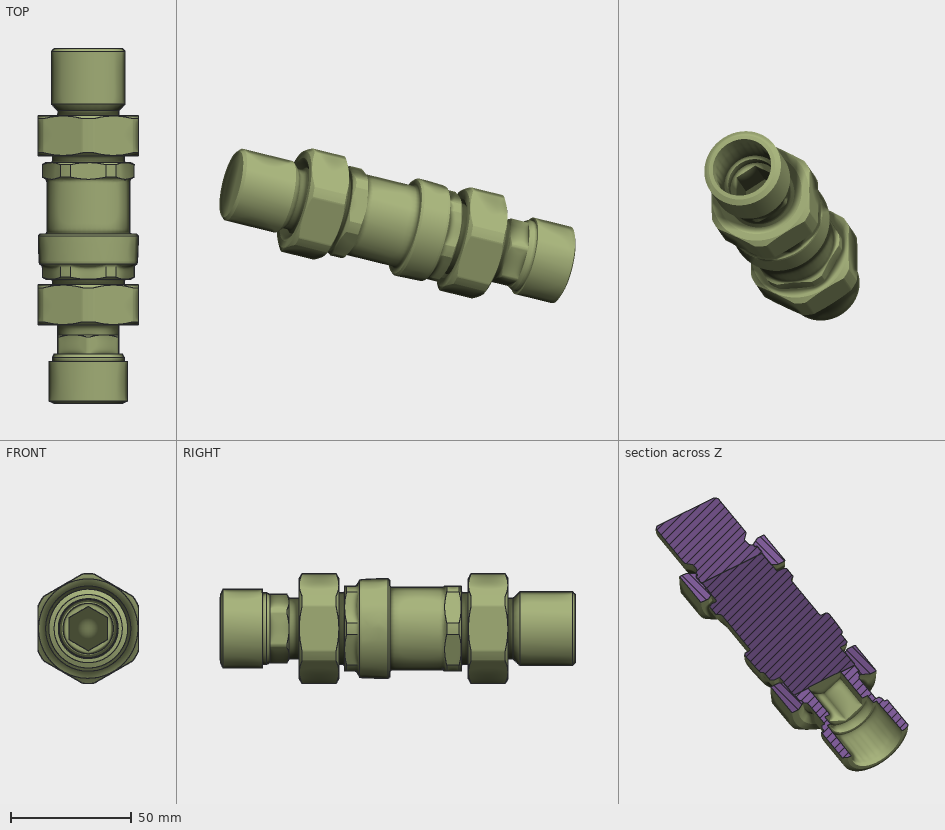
import cadquery as cq
import math

TAN30 = math.tan(math.radians(30))
COS30 = math.cos(math.radians(30))

total_length = 148.0
body_thread_r = 30.0 / 2
neck_r = 25.5 / 2
lip_r = 28.3 / 2

nut_flats = 41.9
nut_corners = 45.9
nut_corner_fillet = 3.0
nut_width = 16.7
nut_face_r = 41.5 / 2
nut_mouth_r = 35.5 / 2
nut_lip_depth = 3.7
nut_entry_r = 34.0 / 2
nut_entry_depth = (nut_entry_r - body_thread_r) * TAN30
nut_mouth_depth = (nut_mouth_r - lip_r) * TAN30
front_nut_y = 32.9
rear_nut_y = 120.1

body_flats = 35.4
body_corners = 38.4
body_corner_fillet = 1.9
body_hex_face_r = 35.2 / 2
body_thread_fillet = 0.6
body_thread_engagement = 8.9
front_hex_y = 51.8
rear_hex_y = 100.5
front_stub_end = front_nut_y + nut_width - body_thread_engagement
rear_stub_end = rear_nut_y - nut_width + body_thread_engagement
tube_r = 34.6 / 2
collar_face_y = 58.2
collar_face_r = 40.5 / 2
collar_edge_y = 59.1
collar_front_r = 41.0 / 2
collar_mid_r = 41.6 / 2
collar_rear_r = 41.8 / 2
collar_rear_y = 69.9
collar_shoulder_y = 70.8
collar_shoulder_r = 40.3 / 2
collar_tube_fillet = 0.7
collar_hex_fillet = 1.0
joint_margin = 0.1
rear_hex_cone_y = 94.5
rear_hex_fillet = 1.5

front_thread_r = 32.9 / 2
rear_thread_r = 30.8 / 2
mouth_r = 28.5 / 2
mouth_chamfer = 1.2
mouth_rise = 0.1
front_thread_length = 17.6
front_collar_r = 30.0 / 2
front_collar_chamfer_r = 28.5 / 2
front_collar_chamfer_y = 19.2
front_collar_end_y = 20.7
tail_flats = 25.5
tail_corners = 28.7
tail_corner_fillet = 1.6
tail_hex_end_y = 28.7
flare_cone_length = 0.9
flare_cone_r = 26.0 / 2
front_blend_length = 1.0
rear_blend_length = 2.0
rear_neck_y = 122.2
rear_thread_y = 125.0
bore_mouth_r = 25.0 / 2
bore_end_r = 24.1 / 2
bore_depth = 19.2
step_bore_r = 21.0 / 2
step_depth = 23.7
key_flats = 16.0


def revolved(profile):
    """Turn a closed (radius, y) sketch about the Y axis."""
    return profile.close().revolve(360, (0, 0), (0, 1))


def cylinder(radius, y_start, y_end):
    """Round bar along Y."""
    return cq.Workplane("XZ", origin=(0, y_start, 0)).circle(radius).extrude(y_start - y_end)


def hexagon(flats, y_start, y_end, turn):
    """Hexagonal bar along Y; turn = 0 puts two corners on the Z axis, 30 puts them on X."""
    bar = cq.Workplane("XZ", origin=(0, y_start, 0)).polygon(6, flats, circumscribed=True)
    return bar.extrude(y_start - y_end).rotate((0, 0, 0), (0, 1, 0), turn)


def blunt_hexagon(flats, corners, fillet, y_start, y_end, turn):
    """Hexagonal bar with its corners cut flat and the resulting edges rounded."""
    bar = hexagon(flats, y_start, y_end, turn).intersect(hexagon(corners, y_start, y_end, turn + 30))
    return bar.edges("|Y").fillet(fillet)


def make_nut():
    """Union nut with its coned mouth at Y = 0 and the thread entry at Y = nut_width."""
    chamfer = (nut_corners / 2 - nut_face_r) * TAN30
    blank = blunt_hexagon(nut_flats, nut_corners, nut_corner_fillet, 0, nut_width, 0)
    envelope = revolved(
        cq.Workplane("XY")
        .moveTo(0, 0)
        .lineTo(nut_face_r, 0)
        .lineTo(nut_corners / 2, chamfer)
        .lineTo(nut_corners / 2, nut_width - chamfer)
        .lineTo(nut_face_r, nut_width)
        .lineTo(0, nut_width)
    )
    bore = revolved(
        cq.Workplane("XY")
        .moveTo(0, 0)
        .lineTo(nut_mouth_r, 0)
        .lineTo(lip_r, nut_mouth_depth)
        .lineTo(lip_r, nut_lip_depth)
        .lineTo(body_thread_r, nut_lip_depth)
        .lineTo(body_thread_r, nut_width - nut_entry_depth)
        .lineTo(nut_entry_r, nut_width)
        .lineTo(0, nut_width)
    )
    return blank.intersect(envelope).cut(bore)


def make_body_thread(face_y, end_y):
    """Threaded stub from a hexagon face to its end, with a fillet at the root."""
    outward = math.copysign(1, end_y - face_y)
    root_y = face_y + outward * body_thread_fillet
    return revolved(
        cq.Workplane("XY")
        .moveTo(0, face_y)
        .lineTo(body_thread_r + body_thread_fillet, face_y)
        .radiusArc((body_thread_r, root_y), outward * body_thread_fillet)
        .lineTo(body_thread_r, end_y)
        .lineTo(0, end_y)
    )


def make_body():
    """Valve body: collar and tube between two hexagons, with a threaded stub at each end."""
    corner_r = body_corners / 2
    end_chamfer = (corner_r - body_hex_face_r) * TAN30

    collar = revolved(
        cq.Workplane("XY")
        .moveTo(0, collar_face_y)
        .lineTo(collar_face_r, collar_face_y)
        .lineTo(collar_front_r, collar_edge_y)
        .threePointArc(
            (collar_mid_r, (collar_edge_y + collar_rear_y) / 2),
            (collar_rear_r, collar_rear_y),
        )
        .lineTo(collar_shoulder_r, collar_shoulder_y)
        .lineTo(tube_r + collar_tube_fillet, collar_shoulder_y)
        .radiusArc((tube_r, collar_shoulder_y + collar_tube_fillet), collar_tube_fillet)
        .lineTo(tube_r, rear_hex_cone_y)
        .lineTo(0, rear_hex_cone_y)
    )
    collar_cone = revolved(
        cq.Workplane("XY")
        .moveTo(0, collar_face_y)
        .lineTo(collar_face_r, collar_face_y)
        .lineTo(0, collar_face_y - collar_face_r * TAN30)
    )

    front_envelope = revolved(
        cq.Workplane("XY")
        .moveTo(0, front_hex_y)
        .lineTo(body_hex_face_r, front_hex_y)
        .lineTo(corner_r, front_hex_y + end_chamfer)
        .lineTo(corner_r, collar_face_y)
        .lineTo(0, collar_face_y)
    )
    front_hex = blunt_hexagon(
        body_flats, body_corners, body_corner_fillet, front_hex_y, collar_face_y, 30
    ).intersect(front_envelope)
    body = collar.union(collar_cone.intersect(cylinder(collar_face_r, front_hex_y, collar_face_y)))
    body = body.union(front_hex)
    joint_y = collar_face_y - (collar_face_r - corner_r) * TAN30
    cone_and_hex_joint = cq.selectors.BoxSelector(
        (-corner_r, joint_y - collar_hex_fillet, -corner_r),
        (corner_r, joint_y + joint_margin, corner_r),
    )
    body = body.edges("not %LINE").edges(cone_and_hex_joint).fillet(collar_hex_fillet)

    cone_end_y = rear_hex_cone_y - (corner_r - tube_r) * TAN30
    blend = rear_hex_fillet * TAN30
    blend_r = tube_r + blend * COS30
    rear_envelope = revolved(
        cq.Workplane("XY")
        .moveTo(0, cone_end_y - blend)
        .lineTo(tube_r, cone_end_y - blend)
        .radiusArc((blend_r, cone_end_y + blend / 2), rear_hex_fillet)
        .lineTo(corner_r, rear_hex_cone_y)
        .lineTo(corner_r, rear_hex_y - end_chamfer)
        .lineTo(body_hex_face_r, rear_hex_y)
        .lineTo(0, rear_hex_y)
    )
    rear_hex = blunt_hexagon(
        body_flats, body_corners, body_corner_fillet, cone_end_y - blend, rear_hex_y, 30
    ).intersect(rear_envelope)
    body = body.union(rear_hex)

    body = body.union(make_body_thread(front_hex_y, front_stub_end))
    return body.union(make_body_thread(rear_hex_y, rear_stub_end))


def blend_radius(length):
    """Radius of an arc that leaves the neck tangentially and reaches the flare cone."""
    rise = flare_cone_r - neck_r
    return (rise**2 + length**2) / (2 * rise)


def make_front_tail():
    """Front tailpiece: threaded mouth, wrench hexagon and flanged neck, bored to a key socket."""
    lip_y = front_nut_y + nut_mouth_depth
    cone_y = lip_y - flare_cone_length
    turned = revolved(
        cq.Workplane("XY")
        .moveTo(0, 0)
        .lineTo(bore_mouth_r, 0)
        .lineTo(mouth_r, mouth_rise)
        .lineTo(front_thread_r, mouth_chamfer)
        .lineTo(front_thread_r, front_thread_length)
        .lineTo(front_collar_r, front_thread_length)
        .lineTo(front_collar_r, front_collar_chamfer_y)
        .lineTo(front_collar_chamfer_r, front_collar_end_y)
        .lineTo(neck_r, front_collar_end_y)
        .lineTo(neck_r, cone_y - front_blend_length)
        .radiusArc((flare_cone_r, cone_y), blend_radius(front_blend_length))
        .lineTo(lip_r, lip_y)
        .lineTo(lip_r, front_nut_y + nut_lip_depth)
        .lineTo(body_thread_r, front_nut_y + nut_lip_depth)
        .lineTo(body_thread_r, front_stub_end)
        .lineTo(0, front_stub_end)
    )
    corner_r = tail_corners / 2
    hex_envelope = revolved(
        cq.Workplane("XY")
        .moveTo(0, front_collar_end_y)
        .lineTo(corner_r, front_collar_end_y)
        .lineTo(corner_r, tail_hex_end_y - (corner_r - neck_r) * TAN30)
        .lineTo(neck_r, tail_hex_end_y)
        .lineTo(0, tail_hex_end_y)
    )
    wrench_hex = blunt_hexagon(
        tail_flats, tail_corners, tail_corner_fillet, front_collar_end_y, tail_hex_end_y, 0
    ).intersect(hex_envelope)
    bore = revolved(
        cq.Workplane("XY")
        .moveTo(0, 0)
        .lineTo(bore_mouth_r, 0)
        .lineTo(bore_end_r, bore_depth)
        .lineTo(step_bore_r, bore_depth)
        .lineTo(step_bore_r, step_depth)
        .lineTo(0, step_depth)
    )
    key_socket = hexagon(key_flats, 0, front_stub_end, 0)
    return turned.union(wrench_hex).cut(bore).cut(key_socket)


def make_rear_tail():
    """Rear tailpiece: flanged neck opening through a cone into a plain threaded end."""
    lip_y = rear_nut_y - nut_mouth_depth
    cone_y = lip_y + flare_cone_length
    return revolved(
        cq.Workplane("XY")
        .moveTo(0, rear_stub_end)
        .lineTo(body_thread_r, rear_stub_end)
        .lineTo(body_thread_r, rear_nut_y - nut_lip_depth)
        .lineTo(lip_r, rear_nut_y - nut_lip_depth)
        .lineTo(lip_r, lip_y)
        .lineTo(flare_cone_r, cone_y)
        .radiusArc((neck_r, cone_y + rear_blend_length), blend_radius(rear_blend_length))
        .lineTo(neck_r, rear_neck_y)
        .lineTo(rear_thread_r, rear_thread_y)
        .lineTo(rear_thread_r, total_length - mouth_chamfer)
        .lineTo(mouth_r, total_length)
        .lineTo(0, total_length)
    )


nut = make_nut()
front_nut = nut.translate((0, front_nut_y, 0))
rear_nut = nut.rotate((0, 0, 0), (0, 0, 1), 180).translate((0, rear_nut_y, 0))
body = make_body()
front_tail = make_front_tail()
rear_tail = make_rear_tail()

result = cq.Compound.makeCompound(
    [front_tail.val(), front_nut.val(), body.val(), rear_nut.val(), rear_tail.val()]
)